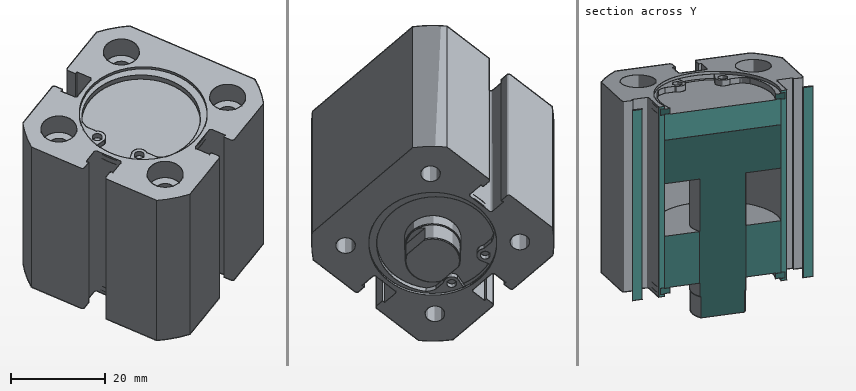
import cadquery as cq
import math

BLOCK_SIDE = 41.0
BLOCK_HEIGHT = 43.0
CORNER_RADIUS = 25.65
BORE_RADIUS = 13.5

HOLE_SPACING = 26.05
HOLE_DIAMETER = 4.1
COUNTERBORE_DIAMETER = 7.6
COUNTERBORE_DEPTH = 5.0

SLOT_MOUTH_WIDTH = 5.3
SLOT_INNER_WIDTH = 6.5
SLOT_LIP_DEPTH = 2.3
SLOT_DEPTH = 6.05
SLOT_MOUTH_ROUNDING = 0.55
SLOT_FLOOR_ROUNDING = 0.5
SLOT_ANGLES = (0, 180, 270)

RING_INSET = 0.65
RING_THICKNESS = 1.25
RING_OUTER_RADIUS = 14.35
RING_INNER_RADIUS = 12.55
RING_INNER_OFFSET = 0.95
LUG_X = 5.15
LUG_Y = -10.45
LUG_RADIUS = 1.75
LUG_HOLE_DIAMETER = 2.05
NECK_Y = -9.0
NECK_START_X = 8.55
NECK_BLEND_MID_X = 9.6
NECK_BLEND_MID_Y = -8.55
NECK_BLEND_END_X = 10.4
GAP_HALF_WIDTH = 4.35

HEAD_COVER_THICKNESS = 5.9
ROD_COVER_THICKNESS = 11.75

ROD_RADIUS = 6.002
ROD_TIP_RADIUS = 5.85
ROD_PROTRUSION = 6.0
ROD_COLLAR_LENGTH = 1.0
ROD_STEP_LENGTH = 0.2
ROD_TIP_CHAMFER = 0.2
FLAT_SPACING = 10.1
FLAT_HEIGHT = 4.0
PISTON_THICKNESS = 9.8

RING_END_DEPTH = RING_INSET + RING_THICKNESS
HEAD_COVER_BOTTOM = BLOCK_HEIGHT - RING_END_DEPTH - HEAD_COVER_THICKNESS
RING_LEVELS = (RING_INSET, BLOCK_HEIGHT - RING_END_DEPTH)


def cylinder(radius, bottom, height):
    return cq.Workplane("XY").workplane(offset=bottom).circle(radius).extrude(height)


def sensor_slot():
    """T-shaped slot cutter along Z, open on the +X side of the block."""
    mouth = BLOCK_SIDE / 2
    lip = mouth - SLOT_LIP_DEPTH
    floor = mouth - SLOT_DEPTH
    half_mouth = SLOT_MOUTH_WIDTH / 2
    channel = (
        cq.Workplane("XY")
        .box(lip - floor, SLOT_INNER_WIDTH, BLOCK_HEIGHT, centered=(False, True, False))
        .translate((floor, 0, 0))
        .edges("|Z and <X")
        .fillet(SLOT_FLOOR_ROUNDING)
    )
    bend = SLOT_MOUTH_ROUNDING * (1 - math.sqrt(0.5))
    flare = half_mouth + SLOT_MOUTH_ROUNDING
    opening = (
        cq.Workplane("XY")
        .moveTo(lip, -half_mouth)
        .lineTo(mouth - SLOT_MOUTH_ROUNDING, -half_mouth)
        .threePointArc((mouth - bend, -half_mouth - bend), (mouth, -flare))
        .lineTo(mouth, flare)
        .threePointArc((mouth - bend, half_mouth + bend), (mouth - SLOT_MOUTH_ROUNDING, half_mouth))
        .lineTo(lip, half_mouth)
        .close()
        .extrude(BLOCK_HEIGHT)
    )
    return channel.union(opening)


def make_housing():
    block = cq.Workplane("XY").rect(BLOCK_SIDE, BLOCK_SIDE).extrude(BLOCK_HEIGHT)
    block = block.intersect(cylinder(CORNER_RADIUS, 0, BLOCK_HEIGHT))
    block = (
        block.faces(">Z")
        .workplane(origin=(0, 0, BLOCK_HEIGHT))
        .rect(HOLE_SPACING, HOLE_SPACING, forConstruction=True)
        .vertices()
        .cboreHole(HOLE_DIAMETER, COUNTERBORE_DIAMETER, COUNTERBORE_DEPTH)
    )
    slot = sensor_slot()
    for angle in SLOT_ANGLES:
        block = block.cut(slot.rotate((0, 0, 0), (0, 0, 1), angle))
    block = block.cut(cylinder(BORE_RADIUS, 0, BLOCK_HEIGHT))
    for level in RING_LEVELS:
        block = block.cut(cylinder(RING_OUTER_RADIUS, level, RING_THICKNESS))
    return block


def make_retaining_ring(level):
    """Internal retaining ring with two plier lugs beside a gap on its -Y side."""
    gap_y = -math.sqrt(RING_OUTER_RADIUS**2 - GAP_HALF_WIDTH**2)
    lug_outer_x = LUG_X + math.sqrt(LUG_RADIUS**2 - (NECK_Y - LUG_Y) ** 2)
    diagonal = LUG_RADIUS / math.sqrt(2)
    blend_end_y = -RING_INNER_OFFSET - math.sqrt(RING_INNER_RADIUS**2 - NECK_BLEND_END_X**2)
    lug_tip_x = LUG_X - diagonal
    lug_tip_y = LUG_Y + diagonal
    lug_inner_x = LUG_X - LUG_RADIUS
    ring = (
        cq.Workplane("XY")
        .moveTo(GAP_HALF_WIDTH, gap_y)
        .threePointArc((0, RING_OUTER_RADIUS), (-GAP_HALF_WIDTH, gap_y))
        .lineTo(-lug_inner_x, LUG_Y)
        .threePointArc((-lug_tip_x, lug_tip_y), (-lug_outer_x, NECK_Y))
        .lineTo(-NECK_START_X, NECK_Y)
        .threePointArc((-NECK_BLEND_MID_X, NECK_BLEND_MID_Y), (-NECK_BLEND_END_X, blend_end_y))
        .threePointArc((0, RING_INNER_RADIUS - RING_INNER_OFFSET), (NECK_BLEND_END_X, blend_end_y))
        .threePointArc((NECK_BLEND_MID_X, NECK_BLEND_MID_Y), (NECK_START_X, NECK_Y))
        .lineTo(lug_outer_x, NECK_Y)
        .threePointArc((lug_tip_x, lug_tip_y), (lug_inner_x, LUG_Y))
        .close()
        .extrude(RING_THICKNESS)
    )
    lug_holes = (
        cq.Workplane("XY")
        .pushPoints([(-LUG_X, LUG_Y), (LUG_X, LUG_Y)])
        .circle(LUG_HOLE_DIAMETER / 2)
        .extrude(RING_THICKNESS)
    )
    return ring.cut(lug_holes).translate((0, 0, level))


def make_head_cover():
    return cylinder(BORE_RADIUS, HEAD_COVER_BOTTOM, HEAD_COVER_THICKNESS)


def make_rod_cover():
    cover = cylinder(BORE_RADIUS, RING_END_DEPTH, ROD_COVER_THICKNESS)
    return cover.cut(cylinder(ROD_RADIUS, RING_END_DEPTH, ROD_COVER_THICKNESS))


def wrench_flat():
    """Cutter for the flat on the -Y side, with a 45 degree run-out at its top."""
    flat_y = -FLAT_SPACING / 2
    flat_top = FLAT_HEIGHT - ROD_PROTRUSION
    run_out = ROD_RADIUS - FLAT_SPACING / 2
    return (
        cq.Workplane("YZ")
        .moveTo(flat_y, -ROD_PROTRUSION)
        .lineTo(flat_y, flat_top)
        .lineTo(flat_y - run_out, flat_top + run_out)
        .lineTo(flat_y - run_out, -ROD_PROTRUSION)
        .close()
        .extrude(ROD_RADIUS, both=True)
    )


def make_piston_rod():
    """Rod turned about Z, with its piston resting against the head cover."""
    piston_bottom = HEAD_COVER_BOTTOM - PISTON_THICKNESS
    rod = (
        cq.Workplane("XZ")
        .moveTo(0, -ROD_PROTRUSION)
        .lineTo(ROD_TIP_RADIUS - ROD_TIP_CHAMFER, -ROD_PROTRUSION)
        .lineTo(ROD_TIP_RADIUS, ROD_TIP_CHAMFER - ROD_PROTRUSION)
        .lineTo(ROD_TIP_RADIUS, -ROD_COLLAR_LENGTH - ROD_STEP_LENGTH)
        .lineTo(ROD_RADIUS, -ROD_COLLAR_LENGTH)
        .lineTo(ROD_RADIUS, piston_bottom)
        .lineTo(BORE_RADIUS, piston_bottom)
        .lineTo(BORE_RADIUS, HEAD_COVER_BOTTOM)
        .lineTo(0, HEAD_COVER_BOTTOM)
        .close()
        .revolve(360, (0, 0, 0), (0, 1, 0))
    )
    flat = wrench_flat()
    return rod.cut(flat).cut(flat.mirror("XZ"))


housing = make_housing()
retaining_rings = [make_retaining_ring(level) for level in RING_LEVELS]
head_cover = make_head_cover()
rod_cover = make_rod_cover()
piston_rod = make_piston_rod()

result = cq.Compound.makeCompound(
    [
        housing.val(),
        *[ring.val() for ring in retaining_rings],
        head_cover.val(),
        rod_cover.val(),
        piston_rod.val(),
    ]
)